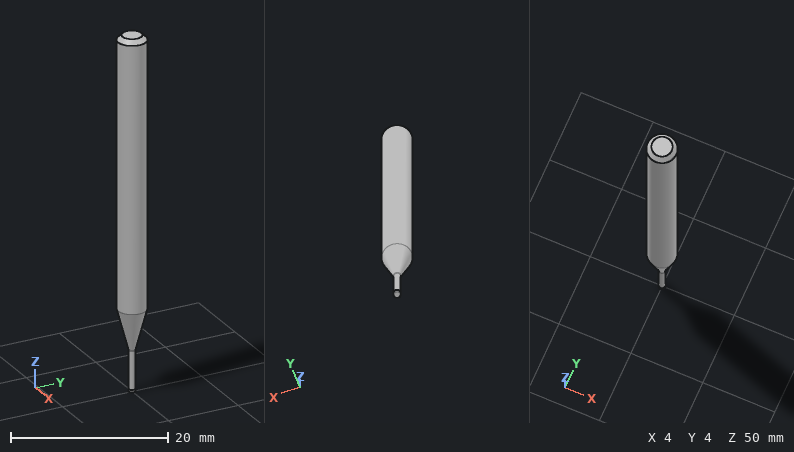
import cadquery as cq

total_length = 50.0
shank_radius = 2.0
end_chamfer = 0.65

taper_start = 5.9
taper_end = 11.7
blend_radius = 0.75

neck_radius = 0.475

head_radius = 0.5
head_length = 0.4
corner_radius = 0.1


def make_cutting_head():
    """Short cylinder with a rounded rim at its free end."""
    head = cq.Workplane("XY").circle(head_radius).extrude(head_length)
    return head.faces("<Z").edges().fillet(corner_radius)


def make_shank():
    """Neck, taper and chamfered shank, revolved about Z as one solid."""
    profile = [
        (0, head_length),
        (neck_radius, head_length),
        (neck_radius, taper_start),
        (shank_radius, taper_end),
        (shank_radius, total_length - end_chamfer),
        (shank_radius - end_chamfer, total_length),
        (0, total_length),
    ]
    outline = cq.Workplane("XZ").polyline(profile).close()
    body = outline.revolve(360, (0, 0, 0), (0, 1, 0))
    neck_corner = cq.selectors.BoxSelector(
        (-shank_radius, -shank_radius, head_length + blend_radius),
        (shank_radius, shank_radius, taper_start + blend_radius),
    )
    return body.edges("%CIRCLE").edges(neck_corner).fillet(blend_radius)


cutting_head = make_cutting_head()
shank = make_shank()

result = cq.Compound.makeCompound([cutting_head.val(), shank.val()])